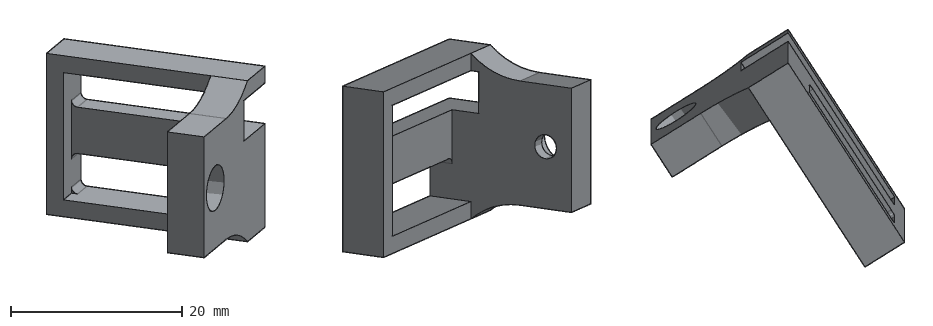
import cadquery as cq
import math

length = 25.35
height = 20.0
total_depth = 19.0
frame_depth = 5.5
end_rail = 2.15
side_rail = 2.1

arm_thickness = 4.65
arm_height = 15.0
flare_radius = 10.01
hole_diameter = 2.9
hole_setback = 3.47

counterbore_diameter = 5.5
counterbore_depth = 3.0

bar_height = 5.75
bar_depth = 3.0
corner_radius = 0.75

slot_reach = 1.05

arm_start = length - arm_thickness
arm_front = frame_depth - total_depth
window_half_height = height / 2 - side_rail
bar_front = frame_depth - bar_depth


def box_between(x_range, y_range, z_range):
    """Box spanning the given lower and upper limits on each axis."""
    sizes = [high - low for low, high in (x_range, y_range, z_range)]
    corner = (x_range[0], y_range[0], z_range[0])
    return cq.Workplane("XY").box(*sizes, centered=False).translate(corner)


def make_frame():
    body = box_between((0, length), (0, frame_depth), (-height / 2, height / 2))
    window = box_between(
        (end_rail, arm_start), (0, frame_depth), (-window_half_height, window_half_height)
    )
    return body.cut(window)


def make_arm_bore(inset, diameter):
    """Cylinder along X, from inset behind the arm's inner face to the +X side."""
    return (
        cq.Workplane("YZ", origin=(arm_start + inset, 0, 0))
        .center(arm_front + hole_setback, 0)
        .circle(diameter / 2)
        .extrude(arm_thickness - inset)
    )


def make_arm():
    """Counterbored plate with concave flares that widen it to the frame height."""
    half_arm = arm_height / 2
    half_frame = height / 2
    flare_drop = half_frame - half_arm
    flare_run = math.sqrt(flare_radius**2 - (flare_radius - flare_drop) ** 2)
    half_angle = math.asin(flare_run / flare_radius) / 2
    mid_y = -flare_run + flare_radius * math.sin(half_angle)
    mid_z = half_arm + flare_radius * (1 - math.cos(half_angle))
    plate = (
        cq.Workplane("YZ", origin=(arm_start, 0, 0))
        .moveTo(0, -half_frame)
        .threePointArc((mid_y, -mid_z), (-flare_run, -half_arm))
        .lineTo(arm_front, -half_arm)
        .lineTo(arm_front, half_arm)
        .lineTo(-flare_run, half_arm)
        .threePointArc((mid_y, mid_z), (0, half_frame))
        .close()
        .extrude(arm_thickness)
    )
    return plate.cut(make_arm_bore(0, hole_diameter)).cut(
        make_arm_bore(arm_thickness - counterbore_depth, counterbore_diameter)
    )


def make_crossbar():
    return box_between(
        (end_rail, arm_start), (bar_front, frame_depth), (-bar_height / 2, bar_height / 2)
    )


def make_corner_fillet(x, z, x_direction, z_direction):
    """Concave fillet filling the window corner at (x, z), as deep as the crossbar."""
    x_end = x + x_direction * corner_radius
    z_end = z + z_direction * corner_radius
    block = box_between(
        sorted((x, x_end)), (bar_front, frame_depth), sorted((z, z_end))
    )
    round_cut = (
        cq.Workplane("XZ", origin=(0, frame_depth, 0))
        .center(x_end, z_end)
        .circle(corner_radius)
        .extrude(bar_depth)
    )
    return block.cut(round_cut)


def make_upper_slot():
    return box_between(
        (arm_start, length), (-slot_reach, frame_depth), (bar_height / 2, window_half_height)
    )


result = make_frame().union(make_arm()).union(make_crossbar()).cut(make_upper_slot())

rounded_corners = [
    (end_rail, bar_height / 2, 1, 1),
    (end_rail, -bar_height / 2, 1, -1),
    (arm_start, -bar_height / 2, -1, -1),
    (end_rail, -window_half_height, 1, 1),
]
for corner in rounded_corners:
    result = result.union(make_corner_fillet(*corner))